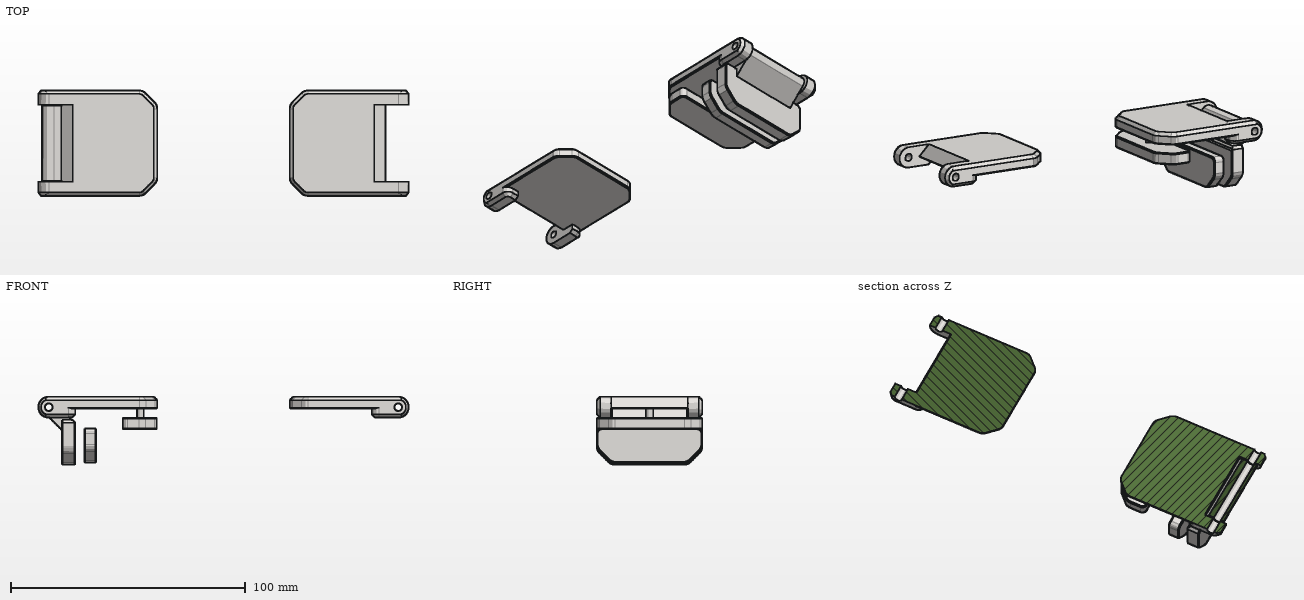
import cadquery as cq
import math

TOTAL_LENGTH = 158.0
TOTAL_HEIGHT = 29.0
WIDTH = 45.0
SLAB_THICKNESS = 5.2
KNUCKLE_DIAMETER = 9.0
BARREL_DIAMETER = 6.0
PIN_HOLE_DIAMETER = 3.2
PLATE_REACH = 46.3
NOTCH_WIDTH = 32.7
NOTCH_TOP_REACH = 10.1
BARREL_WIDTH = 32.0
PAD_REACH = 11.4
PAD_CORNER_RADIUS = 3.0
PLATE_CHAMFER = 1.5
KNUCKLE_CHAMFER_DROP = 1.18
EDGE_CHAMFER = 0.5

CORNER_CUT = 6.2
CORNER_CUT_RADIUS = 4.0

LEAF_THICKNESS = 5.8
LEAF_TOP = -5.4
LEAF_TOP_CHAMFER = 1.3

CLAMP_LENGTH = 14.7
CLAMP_THICKNESS = 5.0
CLAMP_CORNER_RADIUS = 2.0
FLAT_CLAMP_TOP = -4.5
FLAT_CLAMP_REACH = 46.1
UPRIGHT_CLAMP_X = 15.2
UPRIGHT_CLAMP_BOTTOM = -23.7

POST_DIAMETER = 3.0
POST_X = 39.0

KNUCKLE_RADIUS = KNUCKLE_DIAMETER / 2
BARREL_RADIUS = BARREL_DIAMETER / 2
HALF_WIDTH = WIDTH / 2
TOP_Z = KNUCKLE_RADIUS
SLAB_BOTTOM = TOP_Z - SLAB_THICKNESS
LEFT_AXIS_X = KNUCKLE_RADIUS - TOTAL_LENGTH / 2
LEAF_BOTTOM = TOP_Z - TOTAL_HEIGHT
LEAF_NEAR = PAD_REACH - LEAF_THICKNESS


def y_cylinder(diameter, length):
    """A cylinder along the hinge axis, centred on Y = 0."""
    return cq.Workplane("XZ").circle(diameter / 2).extrude(length / 2, both=True)


def cut_corner_panel(start, end, thickness):
    """A panel on Z = 0 from X = start to end, with the two corners at its far end cut and rounded."""
    cut_y = HALF_WIDTH - CORNER_CUT
    panel = (
        cq.Workplane("XY")
        .moveTo(start, -HALF_WIDTH)
        .lineTo(end - CORNER_CUT, -HALF_WIDTH)
        .lineTo(end, -cut_y)
        .lineTo(end, cut_y)
        .lineTo(end - CORNER_CUT, HALF_WIDTH)
        .lineTo(start, HALF_WIDTH)
        .close()
        .extrude(thickness)
    )
    margin = 1.6
    cut_region = cq.selectors.BoxSelector(
        (end - CORNER_CUT - margin, -WIDTH, -margin), (end + margin, WIDTH, thickness + margin)
    )
    return panel.edges("|Z").edges(cut_region).fillet(CORNER_CUT_RADIUS)


def knuckles():
    """The round ends of both arms in one piece, chamfered at the outer sides."""
    return (
        cq.Workplane("XY")
        .lineTo(KNUCKLE_RADIUS, 0)
        .lineTo(KNUCKLE_RADIUS, HALF_WIDTH - PLATE_CHAMFER)
        .lineTo(KNUCKLE_RADIUS - KNUCKLE_CHAMFER_DROP, HALF_WIDTH)
        .lineTo(0, HALF_WIDTH)
        .close()
        .revolve(360, (0, 0, 0), (0, 1, 0))
        .mirror("XZ", union=True)
    )


def pads():
    """The thickening below the slab at both arms in one piece, with rounded far corners."""
    return (
        cq.Workplane("XY", origin=(0, 0, -KNUCKLE_RADIUS))
        .rect(2 * PAD_REACH, WIDTH)
        .extrude(KNUCKLE_RADIUS)
        .edges("|Z")
        .fillet(PAD_CORNER_RADIUS)
        .faces("<Z")
        .edges()
        .chamfer(PLATE_CHAMFER)
    )


def notch():
    """The opening between the arms; its end leans back at 45 degrees above a light chamfer."""
    slope_depth = SLAB_THICKNESS - EDGE_CHAMFER
    slope_end = NOTCH_TOP_REACH - slope_depth
    past_pads = 2 * PAD_REACH
    return (
        cq.Workplane("XZ")
        .moveTo(-KNUCKLE_DIAMETER, TOP_Z)
        .lineTo(NOTCH_TOP_REACH, TOP_Z)
        .lineTo(slope_end, TOP_Z - slope_depth)
        .lineTo(slope_end + EDGE_CHAMFER, SLAB_BOTTOM)
        .lineTo(past_pads, SLAB_BOTTOM)
        .lineTo(past_pads, -KNUCKLE_DIAMETER)
        .lineTo(-KNUCKLE_DIAMETER, -KNUCKLE_DIAMETER)
        .close()
        .extrude(NOTCH_WIDTH / 2, both=True)
    )


def cover_plate():
    """A cover plate with its hinge axis at the origin, reaching along +X."""
    slab = cut_corner_panel(-PAD_REACH, PLATE_REACH, SLAB_THICKNESS)
    slab = slab.faces(">Z").edges().chamfer(PLATE_CHAMFER)
    slab = slab.faces("<Z").edges().chamfer(EDGE_CHAMFER)
    slab = slab.translate((0, 0, SLAB_BOTTOM))
    beyond_axis = cq.Workplane("XY").box(
        PLATE_REACH, WIDTH, KNUCKLE_DIAMETER, centered=(False, True, True)
    )
    plate = slab.union(pads()).intersect(beyond_axis.union(knuckles()))
    return plate.cut(notch()).cut(y_cylinder(PIN_HOLE_DIAMETER, WIDTH))


def hanging_leaf():
    """The leaf with its hinge axis at the origin, hanging along -Z."""
    panel = cut_corner_panel(-LEAF_TOP, -LEAF_BOTTOM, LEAF_THICKNESS)
    top_edges = panel.faces("<X").edges("|Z").add(panel.faces("<X").edges(">Z"))
    panel = top_edges.chamfer(LEAF_TOP_CHAMFER)
    panel = panel.faces("<Z or >Z").edges().chamfer(EDGE_CHAMFER)
    panel = panel.rotate((0, 0, 0), (0, 1, 0), 90).translate((LEAF_NEAR, 0, 0))
    tangent = BARREL_RADIUS * math.sqrt(0.5)
    web = (
        cq.Workplane("XZ")
        .moveTo(tangent, tangent)
        .lineTo(2 * tangent - LEAF_TOP, LEAF_TOP)
        .lineTo(LEAF_NEAR, -LEAF_NEAR - 2 * tangent)
        .lineTo(-tangent, -tangent)
        .close()
        .extrude(BARREL_WIDTH / 2, both=True)
    )
    leaf = panel.union(y_cylinder(BARREL_DIAMETER, BARREL_WIDTH)).union(web)
    return leaf.cut(y_cylinder(PIN_HOLE_DIAMETER, WIDTH))


def clamp():
    """A clamp plate lying on Z = 0, reaching from the origin along +X."""
    plate = cut_corner_panel(0, CLAMP_LENGTH, CLAMP_THICKNESS)
    plate = plate.edges("|Z and <X").fillet(CLAMP_CORNER_RADIUS)
    return plate.faces("<Z or >Z").edges().chamfer(EDGE_CHAMFER)


def post():
    """The post between the flat clamp and the underside of the cover plate."""
    return (
        cq.Workplane("XY", origin=(POST_X, 0, FLAT_CLAMP_TOP))
        .circle(POST_DIAMETER / 2)
        .extrude(SLAB_BOTTOM - FLAT_CLAMP_TOP)
    )


left_plate = cover_plate().translate((LEFT_AXIS_X, 0, 0))
right_plate = left_plate.mirror("YZ")
leaf = hanging_leaf().translate((LEFT_AXIS_X, 0, 0))
flat_clamp = clamp().translate(
    (LEFT_AXIS_X + FLAT_CLAMP_REACH - CLAMP_LENGTH, 0, FLAT_CLAMP_TOP - CLAMP_THICKNESS)
)
upright_clamp = (
    clamp()
    .rotate((0, 0, 0), (0, 1, 0), 90)
    .translate((LEFT_AXIS_X + UPRIGHT_CLAMP_X, 0, UPRIGHT_CLAMP_BOTTOM + CLAMP_LENGTH))
)
clamp_post = post().translate((LEFT_AXIS_X, 0, 0))

result = cq.Compound.makeCompound(
    [
        left_plate.val(),
        right_plate.val(),
        leaf.val(),
        flat_clamp.val(),
        upright_clamp.val(),
        clamp_post.val(),
    ]
)